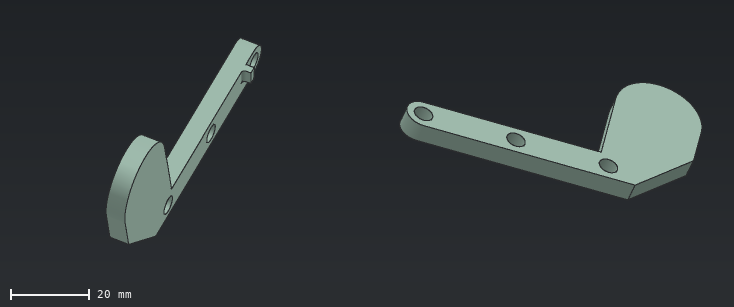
import cadquery as cq
import math

plate_thickness = 5.35
arm_radius = 4.55
hole_diameter = 4.95
hole_pitch = 25.0
hole_count = 3

overall_length = 79.8
overall_height = 41.4
head_radius = 11.7
lean = math.radians(10)
bevel_start_y = -57.1

peg_length = 2.3
peg_width = 1.9
peg_height = arm_radius
peg_far_y = -4.55
peg_root_fillet = 0.95

head_y = arm_radius - overall_length + head_radius
head_z = overall_height - arm_radius - head_radius


def head_point(angle):
    """Point on the head's rim, at an angle from +Y towards +Z."""
    return (head_y + head_radius * math.cos(angle), head_z + head_radius * math.sin(angle))


def make_plate():
    inner_tangent = head_point(lean)
    outer_tangent = head_point(math.pi + lean)
    head_top = head_point(math.pi / 2)

    inner_corner_y = inner_tangent[0] + (inner_tangent[1] - arm_radius) * math.tan(lean)

    bevel_sum = bevel_start_y - arm_radius
    drop = (outer_tangent[0] + outer_tangent[1] - bevel_sum) / (1 - math.tan(lean))
    bevel_drop_end = (outer_tangent[0] + drop * math.tan(lean), outer_tangent[1] - drop)

    return (
        cq.Workplane("YZ")
        .moveTo(0, -arm_radius)
        .threePointArc((arm_radius, 0), (0, arm_radius))
        .lineTo(inner_corner_y, arm_radius)
        .lineTo(*inner_tangent)
        .threePointArc(head_top, outer_tangent)
        .lineTo(*bevel_drop_end)
        .lineTo(bevel_start_y, -arm_radius)
        .close()
        .extrude(plate_thickness)
    )


def make_holes():
    centers = [(-i * hole_pitch, 0) for i in range(hole_count)]
    return cq.Workplane("YZ").pushPoints(centers).circle(hole_diameter / 2).extrude(plate_thickness)


def make_peg():
    """Rectangular peg with a concave fillet at its root on the -Y side."""
    near_y = peg_far_y - peg_width
    face_x = plate_thickness
    tip_x = face_x + peg_length
    fillet_mid_offset = peg_root_fillet * (1 - math.sqrt(0.5))
    return (
        cq.Workplane("XY")
        .workplane(offset=arm_radius - peg_height)
        .moveTo(0, peg_far_y)
        .lineTo(tip_x, peg_far_y)
        .lineTo(tip_x, near_y)
        .lineTo(face_x + peg_root_fillet, near_y)
        .threePointArc(
            (face_x + fillet_mid_offset, near_y - fillet_mid_offset),
            (face_x, near_y - peg_root_fillet),
        )
        .lineTo(0, near_y - peg_root_fillet)
        .close()
        .extrude(peg_height)
    )


result = make_plate().union(make_peg()).cut(make_holes())